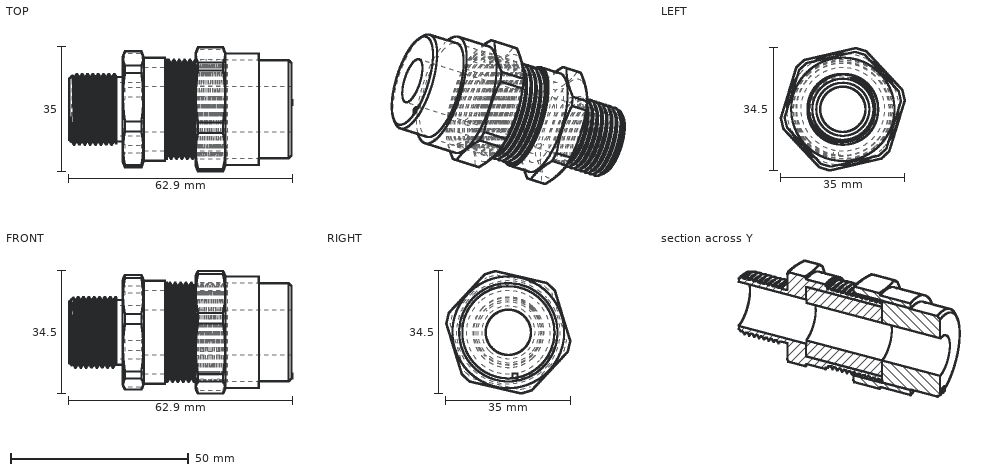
import cadquery as cq
import math


PITCH = 1.5
RIDGE_BASE = 1.1
RIDGE_EMBED = 0.1
TRIM_CLEARANCE = 0.6
ENTRY_CREST_DIA = 20.0
ENTRY_ROOT_DIA = 18.3
ENTRY_CREST_X = 1.0
ENTRY_TIP_DIA = 17.2
ENTRY_THREAD_END = 13.25
BODY_CREST_DIA = 28.0
BODY_ROOT_DIA = 26.2
BODY_CREST_X = 28.35

BORE_DIA = 14.95
ENTRY_HEX_START = 15.0
ENTRY_HEX_LENGTH = 6.0
ENTRY_HEX_FLATS = 30.0
COLLAR_DIA = 29.1
COLLAR_END = 27.05
SHOULDER_LENGTH = 0.5
BODY_END = 44.65

NUT_START = 35.6
NUT_HEX_LENGTH = 8.4
NUT_HEX_FLATS = 32.0
NUT_DIA = 31.5
NUT_END = 53.45

INSERT_DIA = 23.6
INSERT_BORE_DIA = 12.7
INSERT_START = 21.0

SLEEVE_DIA = 27.7
SLEEVE_CHAMFER = 0.9
PAD_HEIGHT = 0.2
PAD_SIZE = 1.45
PAD_Y = 1.9
PAD_Z = -12.25
TOTAL_LENGTH = 62.9

HEX_TURN = 17.0
CORNER_HALF_ANGLE = 5.0
HEX_RIM_LENGTH = 0.7


def cylinder(start, end, diameter):
    """Round bar on the X axis."""
    return cq.Workplane("YZ", origin=(start, 0, 0)).circle(diameter / 2).extrude(end - start)


def revolve_profile(points):
    """Turn a closed (x, radius) outline about the X axis."""
    return cq.Workplane("XY").polyline(points).close().revolve(360, (0, 0, 0), (1, 0, 0))


def hexagon(start, length, flats, rim_dia):
    """Hexagonal collar with flattened corners and a cone at each rim."""
    corner_radius = flats / 2 / math.cos(math.radians(30 - CORNER_HALF_ANGLE))
    corners = []
    for index in range(6):
        for offset in (-CORNER_HALF_ANGLE, CORNER_HALF_ANGLE):
            angle = math.radians(HEX_TURN + 60 * index + offset)
            corners.append((-corner_radius * math.sin(angle), corner_radius * math.cos(angle)))
    prism = cq.Workplane("YZ", origin=(start, 0, 0)).polyline(corners).close().extrude(length)
    end = start + length
    cones = revolve_profile([
        (start, 0),
        (start, rim_dia / 2),
        (start + HEX_RIM_LENGTH, corner_radius),
        (end - HEX_RIM_LENGTH, corner_radius),
        (end, rim_dia / 2),
        (end, 0),
    ])
    return prism.intersect(cones)


def thread_ridge(crest_x, start, end, root_dia, crest_dia):
    """Helical ridge, cut square at start and end, whose crest passes straight above the axis at crest_x."""
    root_radius = root_dia / 2
    first_crest = crest_x - 2 * PITCH
    helix = cq.Wire.makeHelix(PITCH, end + PITCH - first_crest, root_radius)
    inner_radius = root_radius - RIDGE_EMBED
    crest_radius = crest_dia / 2
    half_base = RIDGE_BASE / 2 * (crest_radius - inner_radius) / (crest_radius - root_radius)
    ridge = (
        cq.Workplane("XZ")
        .polyline([
            (inner_radius, -half_base),
            (crest_radius, 0),
            (inner_radius, half_base),
        ])
        .close()
        .sweep(cq.Workplane(obj=helix), isFrenet=True)
    )
    placed_ridge = ridge.rotate((0, 0, 0), (1, 0, 1), 180).translate((first_crest, 0, 0))
    return placed_ridge.intersect(cylinder(start, end, crest_dia + 2 * TRIM_CLEARANCE))


def make_entry_body():
    hex_end = ENTRY_HEX_START + ENTRY_HEX_LENGTH
    shoulder_end = COLLAR_END + SHOULDER_LENGTH

    tip_length = (ENTRY_CREST_DIA - ENTRY_TIP_DIA) / 2 + TRIM_CLEARANCE
    tip_envelope = revolve_profile([
        (0, 0),
        (0, ENTRY_TIP_DIA / 2),
        (tip_length, ENTRY_TIP_DIA / 2 + tip_length),
        (ENTRY_HEX_START, ENTRY_TIP_DIA / 2 + tip_length),
        (ENTRY_HEX_START, 0),
    ])
    entry_core = cylinder(0, ENTRY_HEX_START, ENTRY_ROOT_DIA).intersect(tip_envelope)
    entry_ridge = thread_ridge(ENTRY_CREST_X, 0, ENTRY_THREAD_END, ENTRY_ROOT_DIA, ENTRY_CREST_DIA)
    entry_thread = entry_core.union(entry_ridge.intersect(tip_envelope))
    body_thread = cylinder(shoulder_end, BODY_END, BODY_ROOT_DIA).union(
        thread_ridge(BODY_CREST_X, shoulder_end, BODY_END, BODY_ROOT_DIA, BODY_CREST_DIA)
    )

    return (
        entry_thread
        .union(hexagon(ENTRY_HEX_START, ENTRY_HEX_LENGTH, ENTRY_HEX_FLATS, COLLAR_DIA))
        .union(cylinder(hex_end, COLLAR_END, COLLAR_DIA))
        .union(cylinder(COLLAR_END, shoulder_end, BODY_CREST_DIA))
        .union(body_thread)
        .cut(cylinder(0, INSERT_START, BORE_DIA))
        .cut(cylinder(INSERT_START, BODY_END, INSERT_DIA))
    )


def make_gland_nut():
    hex_end = NUT_START + NUT_HEX_LENGTH
    return (
        hexagon(NUT_START, NUT_HEX_LENGTH, NUT_HEX_FLATS, NUT_DIA)
        .union(cylinder(hex_end, NUT_END, NUT_DIA))
        .cut(cylinder(NUT_START, BODY_END, BODY_CREST_DIA))
        .cut(cylinder(BODY_END, NUT_END, SLEEVE_DIA))
    )


def make_seal_insert():
    insert = cylinder(INSERT_START, BODY_END, INSERT_DIA)
    return insert.cut(cylinder(INSERT_START, BODY_END, INSERT_BORE_DIA))


def make_end_sleeve():
    end_face = TOTAL_LENGTH - PAD_HEIGHT
    pad = (
        cq.Workplane("YZ", origin=(end_face, PAD_Y, PAD_Z))
        .rect(PAD_SIZE, PAD_SIZE)
        .extrude(PAD_HEIGHT)
    )
    return (
        cylinder(BODY_END, end_face, SLEEVE_DIA)
        .faces(">X")
        .chamfer(SLEEVE_CHAMFER)
        .union(pad)
        .cut(cylinder(BODY_END, end_face, INSERT_BORE_DIA))
    )


entry_body = make_entry_body()
gland_nut = make_gland_nut()
seal_insert = make_seal_insert()
end_sleeve = make_end_sleeve()

result = cq.Compound.makeCompound([
    entry_body.solids().val(),
    gland_nut.solids().val(),
    seal_insert.solids().val(),
    end_sleeve.solids().val(),
])